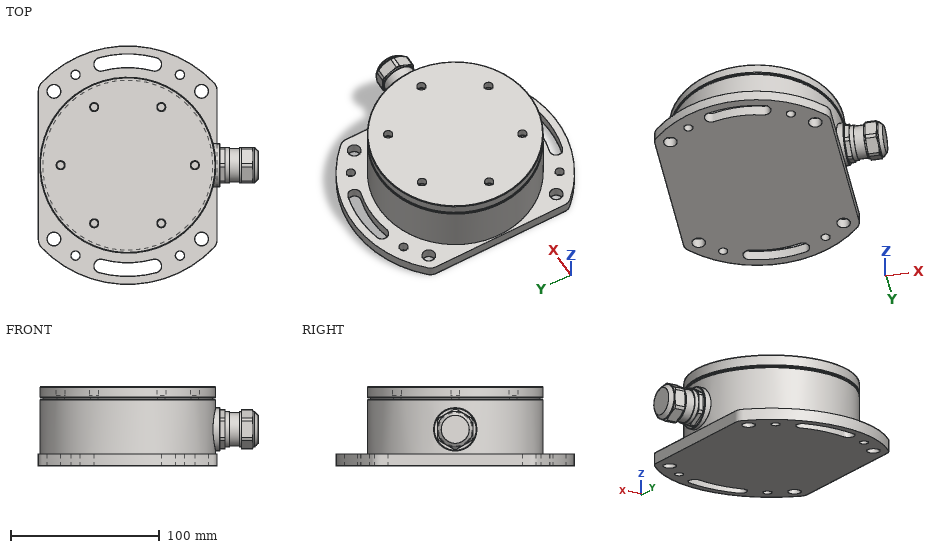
import cadquery as cq
import math

plate_radius = 80.0
plate_width = 120.0
plate_thickness = 8.0
plate_corner_radius = 8.0
plate_hole_circle_radius = 70.0
large_hole_diameter = 9.0
large_hole_angle = 45.0
small_hole_diameter = 6.0
small_hole_angle = 60.0
slot_width = 9.0
slot_half_angle = 15.0

body_radius = 59.0
housing_top = 44.5
edge_chamfer = 0.5
boss_radius = 14.5
boss_end = 62.0
boss_axis_height = 24.5

total_height = 53.2
groove_height = 1.0
spigot_radius = 57.0
cover_hole_count = 6
cover_hole_circle_radius = 45.0
cover_hole_top_diameter = 6.0
cover_hole_top_depth = 6.0
cover_hole_lower_diameter = 5.0

hex_across_flats = 24.0
hex_corner_radius = 13.2
collar_radius = hex_across_flats / 2
neck_radius = 11.3
lower_hex_end = 65.3
lower_collar_end = 68.2
neck_end = 75.0
cap_hex_start = 76.1
cap_hex_end = 84.1
cap_hex_bevel = 0.6
cap_collar_end = 84.9
gland_tip = 87.5
tip_radius = collar_radius - (gland_tip - cap_collar_end)


def polar(radius, angle):
    """Point at a radius and an angle in degrees from +X."""
    turn = math.radians(angle)
    return (radius * math.cos(turn), radius * math.sin(turn))


def make_curved_slot(middle_angle):
    """Cutter for a round-ended slot that follows the plate hole circle."""
    inner = plate_hole_circle_radius - slot_width / 2
    outer = plate_hole_circle_radius + slot_width / 2
    start = middle_angle - slot_half_angle
    end = middle_angle + slot_half_angle
    return (
        cq.Workplane("XY")
        .moveTo(*polar(outer, start))
        .threePointArc(polar(outer, middle_angle), polar(outer, end))
        .tangentArcPoint(polar(inner, end), relative=False)
        .threePointArc(polar(inner, middle_angle), polar(inner, start))
        .tangentArcPoint(polar(outer, start), relative=False)
        .close()
        .extrude(plate_thickness)
    )


def corner_points(angle):
    """Four points on the plate hole circle, mirrored about both axes."""
    x, y = polar(plate_hole_circle_radius, angle)
    return [(x, y), (-x, y), (-x, -y), (x, -y)]


def make_plate():
    """Round plate with two flat sides, corner holes and curved slots."""
    flat_sides = cq.Workplane("XY").box(
        plate_width, 2 * plate_radius, plate_thickness, centered=(True, True, False)
    )
    plate = cq.Workplane("XY").circle(plate_radius).extrude(plate_thickness)
    plate = plate.intersect(flat_sides)
    flat_end = math.sqrt(plate_radius**2 - (plate_width / 2) ** 2)
    for x in (-plate_width / 2, plate_width / 2):
        for y in (-flat_end, flat_end):
            corner = cq.selectors.NearestToPointSelector((x, y, plate_thickness / 2))
            plate = plate.edges("|Z").edges(corner).fillet(plate_corner_radius)
    for diameter, angle in (
        (large_hole_diameter, large_hole_angle),
        (small_hole_diameter, small_hole_angle),
    ):
        hole_plane = plate.faces(">Z").workplane(origin=(0, 0, 0))
        plate = hole_plane.pushPoints(corner_points(angle)).hole(diameter)
    for middle_angle in (90, 270):
        plate = plate.cut(make_curved_slot(middle_angle))
    return plate


def make_housing():
    """Cylinder standing on the plate, with a side boss for the gland."""
    cylinder = (
        cq.Workplane("XY", origin=(0, 0, plate_thickness))
        .circle(body_radius)
        .extrude(housing_top - plate_thickness)
        .faces(">Z")
        .chamfer(edge_chamfer)
    )
    boss = (
        cq.Workplane("YZ", origin=(0, 0, boss_axis_height))
        .circle(boss_radius)
        .extrude(boss_end)
        .faces(">X")
        .chamfer(edge_chamfer)
    )
    return cylinder.union(boss)


def make_cover():
    """Disc on a spigot, with a circle of stepped holes through it."""
    disc_bottom = housing_top + groove_height
    disc = (
        cq.Workplane("XY", origin=(0, 0, disc_bottom))
        .circle(body_radius)
        .extrude(total_height - disc_bottom)
        .edges()
        .chamfer(edge_chamfer)
    )
    spigot = (
        cq.Workplane("XY", origin=(0, 0, housing_top))
        .circle(spigot_radius)
        .extrude(groove_height)
    )
    return (
        disc.union(spigot)
        .faces(">Z")
        .workplane(origin=(0, 0, 0))
        .polarArray(cover_hole_circle_radius, 0, 360, cover_hole_count)
        .cboreHole(cover_hole_lower_diameter, cover_hole_top_diameter, cover_hole_top_depth)
    )


def revolve_along_gland(profile):
    """Turn a profile of (x, radius) points about the gland axis."""
    return (
        cq.Workplane("XZ", origin=(0, 0, boss_axis_height))
        .polyline(profile)
        .close()
        .revolve(360, (0, 0, 0), (1, 0, 0))
    )


def make_hex(start, end, end_bevel):
    """Hexagon with corners turned round and an optional bevel down to the flats."""
    prism = (
        cq.Workplane("YZ", origin=(start, 0, boss_axis_height))
        .polygon(6, hex_across_flats, circumscribed=True)
        .extrude(end - start)
    )
    profile = [(start, 0), (start, hex_corner_radius)]
    if end_bevel > 0:
        profile += [(end - end_bevel, hex_corner_radius), (end, collar_radius)]
    else:
        profile += [(end, hex_corner_radius)]
    profile += [(end, 0)]
    return prism.intersect(revolve_along_gland(profile))


def make_gland():
    """Cable gland: stepped round core with a lower hexagon and a cap hexagon."""
    core = revolve_along_gland(
        [
            (boss_end, 0),
            (boss_end, collar_radius),
            (lower_collar_end, collar_radius),
            (lower_collar_end, neck_radius),
            (neck_end, neck_radius),
            (neck_end, collar_radius),
            (cap_collar_end, collar_radius),
            (gland_tip, tip_radius),
            (gland_tip, 0),
        ]
    )
    lower_hex = make_hex(boss_end, lower_hex_end, 0)
    cap_hex = make_hex(cap_hex_start, cap_hex_end, cap_hex_bevel)
    return core.union(lower_hex).union(cap_hex)


plate = make_plate()
housing = make_housing()
cover = make_cover()
gland = make_gland()

result = cq.Compound.makeCompound([body.solids().val() for body in (plate, housing, cover, gland)])